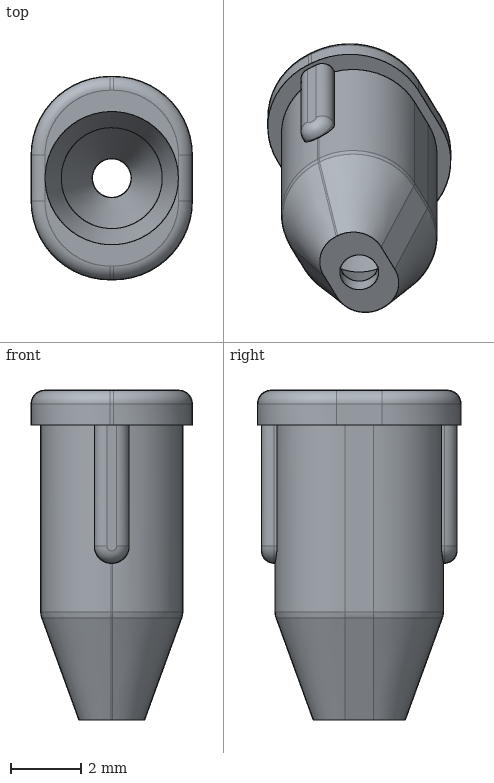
import cadquery as cq
import math

total_height = 9.4

head_width = 4.6
head_depth = 5.8
head_height = 1.0
head_corner_radius = 2.25
head_edge_radius = 0.395

body_width = 4.05
body_depth = 4.8
body_corner_radius = 2.0
nose_height = 3.0
taper_angle = 20.0
nose_blend_radius = 0.5

rib_width = 1.0
rib_span = 5.57
rib_edge_radius = 0.36
rib_length = 3.94

mouth_diameter = 3.8
bore_diameter = 2.88
tip_hole_diameter = 1.1

head_bottom = total_height - head_height
taper_slope = math.tan(math.radians(taper_angle))


def rounded_outline(width, depth, corner_radius):
    """Rectangle centred on the axis, with rounded corners."""
    return cq.Sketch().rect(width, depth).vertices().fillet(corner_radius)


def make_head():
    outline = rounded_outline(head_width, head_depth, head_corner_radius)
    head = cq.Workplane("XY").workplane(offset=head_bottom).placeSketch(outline).extrude(head_height)
    return head.faces(">Z").edges().fillet(head_edge_radius)


def make_body():
    """Straight body above a nose that narrows downward, with the shoulder blended."""
    outline = rounded_outline(body_width, body_depth, body_corner_radius)
    shoulder = cq.Workplane("XY").workplane(offset=nose_height)
    body = shoulder.placeSketch(outline).extrude(head_bottom - nose_height)
    nose = shoulder.placeSketch(outline).extrude(-nose_height, taper=taper_angle)
    selection_margin = 0.09
    shoulder_edges = cq.selectors.BoxSelector(
        (-body_width, -body_depth, nose_height - selection_margin),
        (body_width, body_depth, nose_height + selection_margin),
    )
    return body.union(nose).edges(shoulder_edges).fillet(nose_blend_radius)


def make_rib(side):
    """Round-ended rib reaching from the axis outward; side is -1 for front, +1 for back."""
    end_radius = rib_width / 2
    straight_length = rib_length - end_radius
    rib = (
        cq.Workplane("XZ")
        .moveTo(-end_radius, head_bottom)
        .lineTo(-end_radius, head_bottom - straight_length)
        .threePointArc((0, head_bottom - rib_length), (end_radius, head_bottom - straight_length))
        .lineTo(end_radius, head_bottom)
        .close()
        .extrude(-side * rib_span / 2)
    )
    outer_face = ">Y" if side > 0 else "<Y"
    return rib.faces(outer_face).edges("not >Z").fillet(rib_edge_radius)


def make_bore():
    """Conical mouth, straight bore and conical bottom ending in the tip hole."""
    mouth_radius = mouth_diameter / 2
    bore_radius = bore_diameter / 2
    tip_radius = tip_hole_diameter / 2
    mouth_bottom = total_height - (mouth_radius - bore_radius) / taper_slope
    cone_bottom = nose_height - (bore_radius - tip_radius) / taper_slope
    profile = [
        (0, 0),
        (tip_radius, 0),
        (tip_radius, cone_bottom),
        (bore_radius, nose_height),
        (bore_radius, mouth_bottom),
        (mouth_radius, total_height),
        (0, total_height),
    ]
    return cq.Workplane("XZ").polyline(profile).close().revolve(360, (0, 0), (0, 1))


sleeve = make_body().union(make_head())
for rib_side in (-1, 1):
    sleeve = sleeve.union(make_rib(rib_side))
result = sleeve.cut(make_bore())